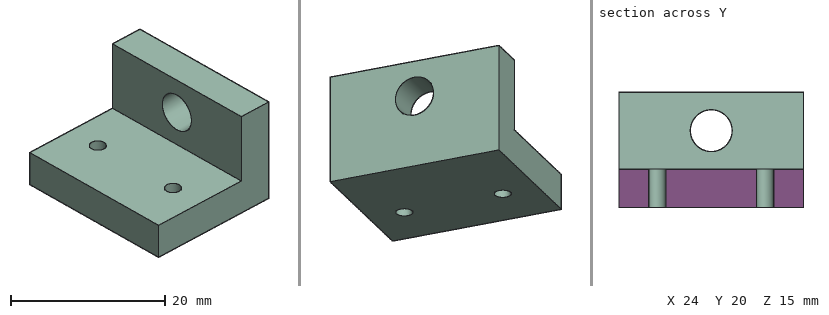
import cadquery as cq

width = 24.0
depth = 20.0
height = 15.0
thickness = 5.0

bore_diameter = 5.4
bore_height = (height + thickness) / 2

mount_diameter = 2.2
mount_spacing = 14.0
mount_from_front = 7.5

wall_front = depth - thickness


def bracket_body():
    """L profile in the YZ plane, extruded symmetrically about X = 0."""
    profile = [
        (0, 0),
        (depth, 0),
        (depth, height),
        (wall_front, height),
        (wall_front, thickness),
        (0, thickness),
    ]
    return cq.Workplane("YZ").polyline(profile).close().extrude(width / 2, both=True)


def wall_bore():
    """Cylinder along Y through the full thickness of the wall."""
    front_plane = cq.Workplane("XZ", origin=(0, wall_front, bore_height))
    return front_plane.circle(bore_diameter / 2).extrude(-thickness)


def mounting_holes():
    """Two vertical cylinders through the base, mirrored about X = 0."""
    centers = [(side * mount_spacing / 2, mount_from_front) for side in (-1, 1)]
    return cq.Workplane("XY").pushPoints(centers).circle(mount_diameter / 2).extrude(thickness)


result = bracket_body().cut(wall_bore()).cut(mounting_holes())